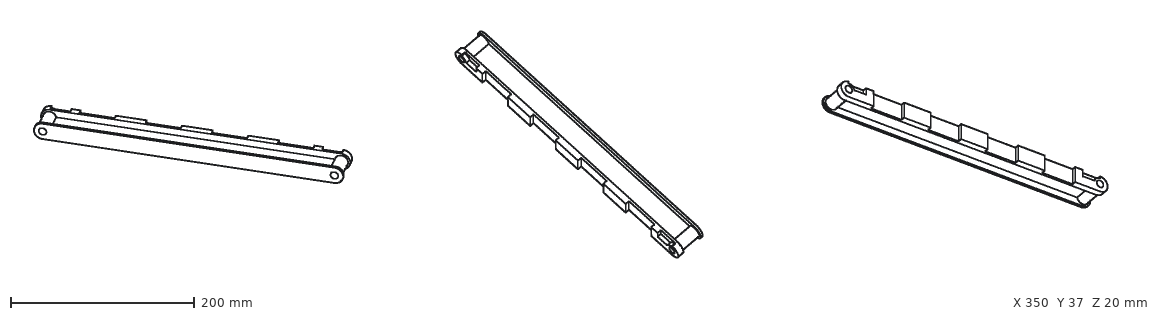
import cadquery as cq
length = 350.0
width = 37.0
height = 20.0

plate_thickness = 3.0
end_radius = height / 2
pivot_x = length / 2 - end_radius

tube_diameter = 15.0
bore_diameter = 8.8

floor_thickness = 3.0
floor_top = floor_thickness / 2

tab_depth = 5.0
tab_length = 35.0
tab_pitch = 75.0
gap_count = 4

pocket_inner_x = 142.5

front_y = -width / 2
rear_y = width / 2
tab_root_y = rear_y - tab_depth
floor_front_y = front_y + plate_thickness
floor_rear_y = tab_root_y - plate_thickness


def box(x_min, x_max, y_min, y_max, z_min, z_max):
    """Block given by its limits along each axis."""
    size = (x_max - x_min, y_max - y_min, z_max - z_min)
    return cq.Workplane("XY").box(*size, centered=False).translate((x_min, y_min, z_min))


def cylinder_along_y(x, diameter, y_min, y_max):
    """Cylinder on a pivot axis, parallel to Y."""
    disc = cq.Workplane("XZ", origin=(x, y_min, 0)).circle(diameter / 2)
    return disc.extrude(y_min - y_max)


def round_ended_plate(y_min, y_max):
    """Full-length plate with round ends."""
    outline = cq.Workplane("XZ", origin=(0, y_min, 0)).slot2D(length, height)
    return outline.extrude(y_min - y_max)


def tab_gap(x_center):
    """Full-height gap between two neighbouring tabs."""
    half = (tab_pitch - tab_length) / 2
    return box(x_center - half, x_center + half, tab_root_y, rear_y + 3.5, -height, height)


def end_pocket(side):
    """Space above the floor level in an end tab, open at the top and leaving the tube standing."""
    x_min, x_max = sorted((side * pivot_x, side * pocket_inner_x))
    space = box(x_min, x_max, tab_root_y, rear_y + 3.5, floor_top, height)
    return space.cut(cylinder_along_y(side * pivot_x, tube_diameter, front_y, rear_y + 7))


body = round_ended_plate(floor_rear_y, rear_y)
body = body.union(round_ended_plate(front_y, floor_front_y))
body = body.union(box(-pivot_x, pivot_x, floor_front_y, floor_rear_y, -floor_top, floor_top))

for index in range(gap_count):
    body = body.cut(tab_gap((index - (gap_count - 1) / 2) * tab_pitch))

for side in (-1, 1):
    x = side * pivot_x
    body = body.union(cylinder_along_y(x, tube_diameter, floor_front_y, floor_rear_y))
    body = body.cut(end_pocket(side))
    body = body.cut(cylinder_along_y(x, bore_diameter, front_y, rear_y))

result = body